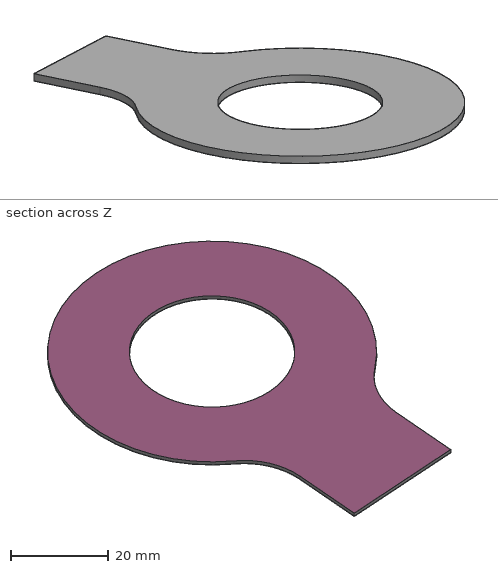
import cadquery as cq
import math

overall_length = 89.9
disc_diameter = 67.85
hole_diameter = 34.0
tab_width = 27.95
blend_radius = 16.0
thickness = 1.6

disc_radius = disc_diameter / 2
half_tab = tab_width / 2
tab_end_x = disc_radius - overall_length

blend_center_y = half_tab + blend_radius
center_distance = disc_radius + blend_radius
blend_center_x = -math.sqrt(center_distance**2 - blend_center_y**2)

disc_share = disc_radius / center_distance
joint_x = blend_center_x * disc_share
joint_y = blend_center_y * disc_share

start_angle = -math.pi / 2
end_angle = math.atan2(-blend_center_y, -blend_center_x)
mid_angle = (start_angle + end_angle) / 2
blend_mid_x = blend_center_x + blend_radius * math.cos(mid_angle)
blend_mid_y = blend_center_y + blend_radius * math.sin(mid_angle)

plate = (
    cq.Workplane("XY")
    .moveTo(tab_end_x, -half_tab)
    .lineTo(blend_center_x, -half_tab)
    .threePointArc((blend_mid_x, -blend_mid_y), (joint_x, -joint_y))
    .threePointArc((disc_radius, 0), (joint_x, joint_y))
    .threePointArc((blend_mid_x, blend_mid_y), (blend_center_x, half_tab))
    .lineTo(tab_end_x, half_tab)
    .close()
    .extrude(thickness)
)

result = plate.faces(">Z").workplane(origin=(0, 0, thickness)).hole(hole_diameter)